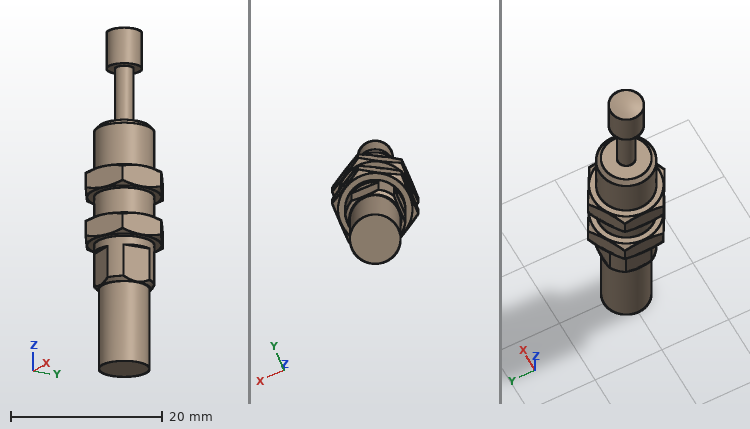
import cadquery as cq
import math

total_height = 47.3
tail_top = 11.1
flats_top = 16.05
thread_top = 33.65
head_bottom = 41.85
dome_height = 0.45

tail_diameter = 6.7
thread_diameter = 8.0
thread_top_diameter = 6.7
thread_bottom_diameter = 6.9
rod_diameter = 2.5
head_diameter = 4.7

wrench_width = 7.0

nut_width = 10.0
nut_height = 3.0
nut_face_diameter = 9.85
nut_chamfer_angle = 30.0
nut_bottoms = [17.2, 23.95]


def cylinder(diameter, bottom, top):
    """Upright cylinder centred on the Z axis."""
    return cq.Workplane("XY").workplane(offset=bottom).circle(diameter / 2).extrude(top - bottom)


def make_barrel():
    """Threaded barrel with 45 degree chamfers and four wrench flats."""
    top_chamfer = (thread_diameter - thread_top_diameter) / 2
    bottom_chamfer = (thread_diameter - thread_bottom_diameter) / 2
    barrel = cylinder(thread_diameter, tail_top, thread_top)
    barrel = barrel.faces(">Z").chamfer(top_chamfer)
    barrel = barrel.faces("<Z").chamfer(bottom_chamfer)

    flats_height = flats_top - tail_top
    flat_ring = (
        cylinder(2 * thread_diameter, tail_top, flats_top)
        .cut(
            cq.Workplane("XY")
            .workplane(offset=tail_top)
            .rect(wrench_width, wrench_width)
            .extrude(flats_height)
        )
    )
    return barrel.cut(flat_ring)


def make_head():
    """Plunger head with a shallow spherical top."""
    head_radius = head_diameter / 2
    shoulder = total_height - dome_height
    dome_radius = (head_radius**2 + dome_height**2) / (2 * dome_height)
    dome_mid_x = head_radius / 2
    dome_mid_z = total_height - dome_radius + math.sqrt(dome_radius**2 - dome_mid_x**2)
    return (
        cq.Workplane("XZ")
        .moveTo(0, head_bottom)
        .lineTo(head_radius, head_bottom)
        .lineTo(head_radius, shoulder)
        .threePointArc((dome_mid_x, dome_mid_z), (0, total_height))
        .close()
        .revolve(360, (0, 0, 0), (0, 1, 0))
    )


def make_absorber():
    """Tail, barrel, rod and head as one solid."""
    tail = cylinder(tail_diameter, 0, tail_top)
    rod = cylinder(rod_diameter, thread_top, head_bottom)
    return tail.union(make_barrel()).union(rod).union(make_head())


def make_nut(bottom):
    """Hexagon nut with corners on the Y axis, chamfered on both faces."""
    corner_radius = nut_width / 2 / math.cos(math.radians(30))
    face_radius = nut_face_diameter / 2
    chamfer_height = (corner_radius - face_radius) * math.tan(math.radians(nut_chamfer_angle))
    hexagon = (
        cq.Workplane("XY")
        .polygon(6, 2 * corner_radius)
        .extrude(nut_height)
        .rotate((0, 0, 0), (0, 0, 1), 30)
    )
    blank = (
        cq.Workplane("XZ")
        .moveTo(0, 0)
        .lineTo(face_radius, 0)
        .lineTo(corner_radius, chamfer_height)
        .lineTo(corner_radius, nut_height - chamfer_height)
        .lineTo(face_radius, nut_height)
        .lineTo(0, nut_height)
        .close()
        .revolve(360, (0, 0, 0), (0, 1, 0))
    )
    bore = cylinder(thread_diameter, 0, nut_height)
    return hexagon.intersect(blank).cut(bore).translate((0, 0, bottom))


absorber = make_absorber()
nuts = [make_nut(bottom) for bottom in nut_bottoms]

result = cq.Compound.makeCompound([absorber.val(), *[nut.val() for nut in nuts]])